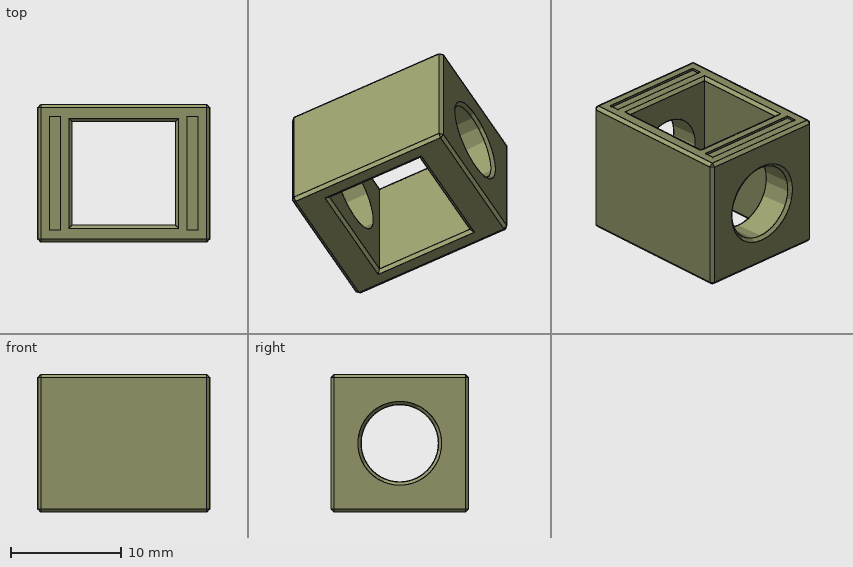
import cadquery as cq

length_x = 15.625
width_y = 12.5
height_z = 12.5
edge_chamfer = 0.3

window_side = 9.375
bore_diameter = 7.0

recess_width = 1.0
recess_length = 10.3
recess_depth = 0.2

recess_offset_x = (length_x + window_side) / 4


def make_block():
    """Block centred on the origin with all outer edges chamfered."""
    return cq.Workplane("XY").box(length_x, width_y, height_z).edges().chamfer(edge_chamfer)


def make_window():
    """Square prism through Z, flared by a chamfer at the top and bottom faces."""
    prism = cq.Workplane("XY").box(window_side, window_side, height_z)
    flared_side = window_side + 2 * edge_chamfer
    for direction in (1, -1):
        flare = (
            cq.Workplane("XY")
            .workplane(offset=direction * height_z / 2)
            .rect(flared_side, flared_side)
            .workplane(offset=-direction * edge_chamfer)
            .rect(window_side, window_side)
            .loft(ruled=True)
        )
        prism = prism.union(flare)
    return prism


def make_bore():
    """Cylinder through X, flared by a chamfer at both end faces."""
    bore_radius = bore_diameter / 2
    half_length = length_x / 2
    flared_radius = bore_radius + edge_chamfer
    flare_start = half_length - edge_chamfer
    return (
        cq.Workplane("XY")
        .moveTo(-half_length, 0)
        .lineTo(-half_length, flared_radius)
        .lineTo(-flare_start, bore_radius)
        .lineTo(flare_start, bore_radius)
        .lineTo(half_length, flared_radius)
        .lineTo(half_length, 0)
        .close()
        .revolve(360, (0, 0, 0), (1, 0, 0))
    )


def make_label_recesses():
    """Two shallow rectangular pockets in the top face, one on each end wall."""
    return (
        cq.Workplane("XY")
        .workplane(offset=height_z / 2)
        .pushPoints([(-recess_offset_x, 0), (recess_offset_x, 0)])
        .rect(recess_width, recess_length)
        .extrude(-recess_depth)
    )


result = make_block().cut(make_window()).cut(make_bore()).cut(make_label_recesses())